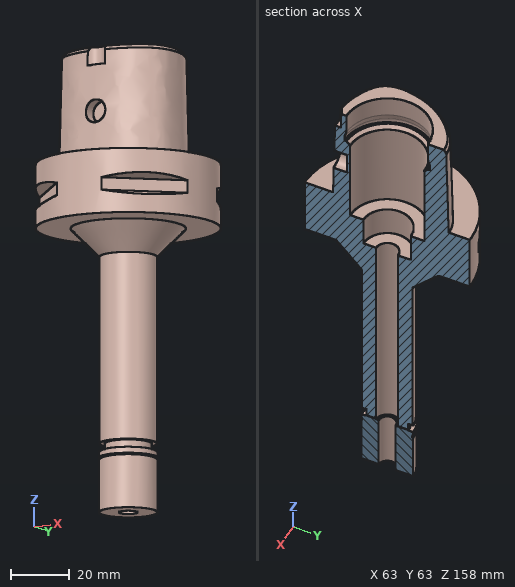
import cadquery as cq
import math

shank_height = 37.9
shank_base_radius = 22.1
lobe_eccentricity = 1.4
taper_per_height = 1 / 40
rim_chamfer_height = 1.5
rim_chamfer_width = 1.0
outline_point_count = 48

total_height = 158
flange_radius = 63.0 / 2
flange_height = 22.1
cone_height = 9.8
shaft_radius = 9.8
cone_top_radius = shaft_radius + cone_height
neck_radius = 8.0
neck_height = 2.8

nut_radius = 10.0
nut_height = 20.9
nut_bore_radius = 3.2
nut_groove_below_top = 2.0
nut_groove_height = 0.5
nut_groove_depth = 0.3

mouth_radius = 15.5
mouth_depth = 7.7
undercut_radius = 16.3
undercut_cone_height = 2.5
undercut_end_depth = 11.8
main_bore_radius = 14.0
main_bore_depth = 45.8
counterbore_radius = 9.0
counterbore_depth = 56.9
shaft_bore_radius = 4.1

notch_radius = 4.1
notch_axis_offset = 21.8
notch_depth = 6.3
side_hole_radius = 4.0
side_hole_below_rim = 22.5
side_hole_floor_offset = 15.5

slot_count = 4
slot_length = 29.9
slot_floor_height = 4.3
slot_mouth_height = 7.6
slot_below_flange_top = 12.0

flange_bottom = -flange_height
cone_bottom = flange_bottom - cone_height
nut_bottom = shank_height - total_height
nut_top = nut_bottom + nut_height
shaft_bottom = nut_top + neck_height


def lobed_point(mean_radius, angle):
    """Point on the three-lobed outline, with one lobe toward +Y."""
    e = lobe_eccentricity
    across = mean_radius * math.sin(angle) + 2 * e * math.sin(2 * angle) + e * math.sin(4 * angle)
    along = mean_radius * math.cos(angle) - 2 * e * math.cos(2 * angle) + e * math.cos(4 * angle)
    return (across, -along)


def lobed_section(mean_radius, z):
    angles = [2 * math.pi * i / outline_point_count for i in range(outline_point_count)]
    points = [lobed_point(mean_radius, angle) for angle in angles]
    return cq.Workplane("XY", origin=(0, 0, z)).spline(points, periodic=True).close().val()


def lobed_loft(lower_radius, lower_z, upper_radius, upper_z):
    sections = [lobed_section(lower_radius, lower_z), lobed_section(upper_radius, upper_z)]
    return cq.Workplane(cq.Solid.makeLoft(sections, True))


def cylinder(radius, bottom, top):
    return cq.Workplane("XY", origin=(0, 0, bottom)).circle(radius).extrude(top - bottom)


def revolved(profile):
    """Solid of revolution about Z from (radius, z) points."""
    return cq.Workplane("XZ").polyline(profile).close().revolve(360, (0, 0), (0, 1))


def make_shank():
    chamfer_z = shank_height - rim_chamfer_height
    chamfer_radius = shank_base_radius - taper_per_height * chamfer_z
    rim_radius = chamfer_radius - rim_chamfer_width
    taper = lobed_loft(shank_base_radius, 0, chamfer_radius, chamfer_z)
    rim = lobed_loft(chamfer_radius, chamfer_z, rim_radius, shank_height)
    return taper.union(rim)


def make_flange_and_shaft():
    return revolved([
        (0, 0),
        (flange_radius, 0),
        (flange_radius, flange_bottom),
        (cone_top_radius, flange_bottom),
        (shaft_radius, cone_bottom),
        (shaft_radius, shaft_bottom),
        (neck_radius, shaft_bottom),
        (neck_radius, nut_top),
        (0, nut_top),
    ])


def make_bore():
    undercut_top = shank_height - mouth_depth
    undercut_bottom = shank_height - undercut_end_depth
    chamfer_bottom = undercut_bottom - (mouth_radius - main_bore_radius)
    main_floor = shank_height - main_bore_depth
    counterbore_floor = shank_height - counterbore_depth
    return revolved([
        (0, shank_height),
        (mouth_radius, shank_height),
        (mouth_radius, undercut_top),
        (undercut_radius, undercut_top - undercut_cone_height),
        (undercut_radius, undercut_bottom),
        (mouth_radius, undercut_bottom),
        (main_bore_radius, chamfer_bottom),
        (main_bore_radius, main_floor),
        (counterbore_radius, main_floor),
        (counterbore_radius, counterbore_floor),
        (shaft_bore_radius, counterbore_floor),
        (shaft_bore_radius, nut_top),
        (0, nut_top),
    ])


def make_key_notch():
    notch = cylinder(notch_radius, shank_height - notch_depth, shank_height)
    return notch.translate((0, -notch_axis_offset, 0))


def make_side_hole():
    floor_center = (0, -side_hole_floor_offset, shank_height - side_hole_below_rim)
    hole_length = flange_radius - side_hole_floor_offset
    return cq.Workplane("XZ", origin=floor_center).circle(side_hole_radius).extrude(hole_length)


def make_gripper_slot(angle):
    """Slot with a flat floor and walls that flare toward the flange surface."""
    floor_radius = math.sqrt(flange_radius ** 2 - (slot_length / 2) ** 2)
    floor_half = slot_floor_height / 2
    mouth_half = slot_mouth_height / 2
    profile = [
        (floor_radius, -floor_half),
        (flange_radius, -mouth_half),
        (flange_radius, mouth_half),
        (floor_radius, floor_half),
    ]
    slot = cq.Workplane("XZ").polyline(profile).close().extrude(slot_length / 2, both=True)
    return slot.translate((0, 0, -slot_below_flange_top)).rotate((0, 0, 0), (0, 0, 1), angle)


def make_holder():
    holder = make_flange_and_shaft().union(make_shank())
    holder = holder.cut(make_bore()).cut(make_key_notch()).cut(make_side_hole())
    for i in range(slot_count):
        holder = holder.cut(make_gripper_slot((i + 0.5) * 360 / slot_count))
    return holder


def make_nut():
    groove_top = nut_top - nut_groove_below_top
    groove_bottom = groove_top - nut_groove_height
    groove_floor_radius = nut_radius - nut_groove_depth
    return revolved([
        (nut_bore_radius, nut_bottom),
        (nut_radius, nut_bottom),
        (nut_radius, groove_bottom),
        (groove_floor_radius, groove_bottom),
        (groove_floor_radius, groove_top),
        (nut_radius, groove_top),
        (nut_radius, nut_top),
        (nut_bore_radius, nut_top),
    ])


holder = make_holder()
nut = make_nut()
result = cq.Compound.makeCompound([holder.val(), nut.val()])